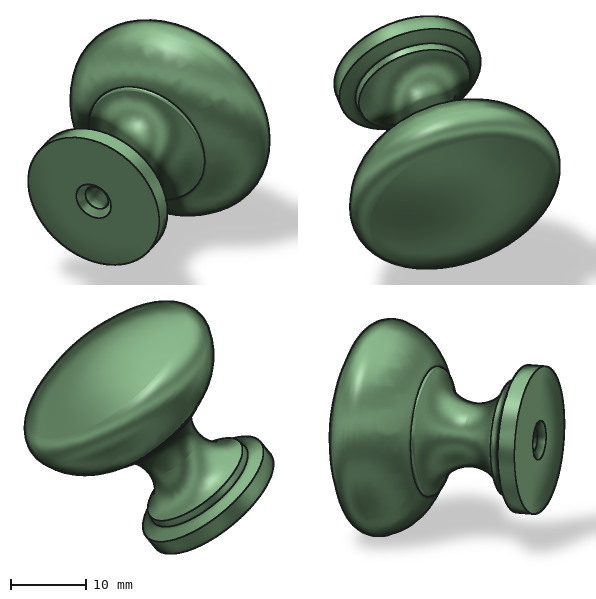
import cadquery as cq
import math

knob_length = 28.0
head_radius = 14.5

base_radius = 9.85
base_height = 2.32
band_lower_radius = 7.89
band_upper_radius = 7.75
band_start = 3.13
band_end = 4.15

waist_radius = 4.23
waist_height = 9.2
neck_top_radius = 8.35

bead_start = 14.55
bead_end = 15.07
bead_radius = 8.7
bead_bulge = 0.1

rim_radius = 3.3
rim_height = 21.77
crown_start = 24.67
underside_end = 20.32
underside_bulge = 0.93

hole_radius = 1.7
countersink_radius = 2.6
countersink_depth = countersink_radius - hole_radius
hole_depth = 11.6
drill_half_angle = math.radians(59)


def rim_point(height):
    """Point of the rim arc at a given height along the axis."""
    offset = height - rim_height
    radius = head_radius - rim_radius + math.sqrt(rim_radius**2 - offset**2)
    return radius, height


def make_knob_body():
    rim_bottom = rim_point(underside_end)
    rim_top = rim_point(crown_start)

    crown_rise = knob_length - crown_start
    crown_radius = (rim_top[0]**2 + crown_rise**2) / (2 * crown_rise)
    crown_mid_radius = rim_top[0] / 2
    crown_mid_height = knob_length - crown_radius + math.sqrt(crown_radius**2 - crown_mid_radius**2)

    chord_radial = rim_bottom[0] - bead_radius
    chord_axial = underside_end - bead_end
    chord_length = math.hypot(chord_radial, chord_axial)
    underside_mid = (
        (rim_bottom[0] + bead_radius) / 2 + underside_bulge * chord_axial / chord_length,
        (underside_end + bead_end) / 2 - underside_bulge * chord_radial / chord_length,
    )
    bead_mid = (
        (neck_top_radius + bead_radius) / 2 + bead_bulge,
        (bead_start + bead_end) / 2 - bead_bulge,
    )

    lower_neck_mid = neck_arc_mid(band_upper_radius, band_end)
    upper_neck_mid = neck_arc_mid(neck_top_radius, bead_start)

    profile = (
        cq.Workplane("XY")
        .lineTo(base_radius, 0)
        .lineTo(base_radius, base_height)
        .lineTo(band_lower_radius, band_start)
        .lineTo(band_upper_radius, band_end)
        .threePointArc(lower_neck_mid, (waist_radius, waist_height))
        .threePointArc(upper_neck_mid, (neck_top_radius, bead_start))
        .threePointArc(bead_mid, (bead_radius, bead_end))
        .threePointArc(underside_mid, rim_bottom)
        .threePointArc((head_radius, rim_height), rim_top)
        .threePointArc((crown_mid_radius, crown_mid_height), (0, knob_length))
        .close()
    )
    return profile.revolve(360, (0, 0, 0), (0, 1, 0))


def neck_arc_mid(end_radius, end_height):
    """Middle of the concave arc that leaves the waist parallel to the axis."""
    flare = end_radius - waist_radius
    rise = end_height - waist_height
    arc_radius = (flare**2 + rise**2) / (2 * flare)
    half_angle = math.asin(abs(rise) / arc_radius) / 2
    radius = waist_radius + arc_radius * (1 - math.cos(half_angle))
    height = waist_height + math.copysign(arc_radius * math.sin(half_angle), rise)
    return radius, height


def make_screw_hole():
    tip_depth = hole_depth + hole_radius / math.tan(drill_half_angle)
    return (
        cq.Workplane("XY")
        .lineTo(countersink_radius, 0)
        .lineTo(hole_radius, countersink_depth)
        .lineTo(hole_radius, hole_depth)
        .lineTo(0, tip_depth)
        .close()
        .revolve(360, (0, 0, 0), (0, 1, 0))
    )


result = make_knob_body().cut(make_screw_hole())